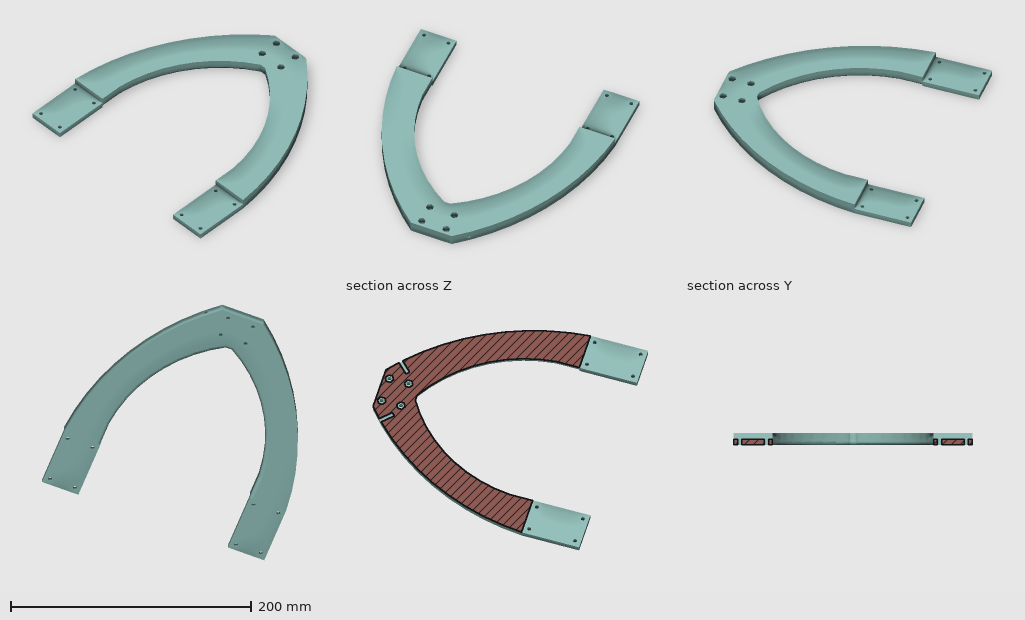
import cadquery as cq

width = 199.0
length = 204.0
thickness = 10.0
half_width = width / 2

pad_width = 32.5
pad_length = 50.0
pad_thickness = thickness / 2
pad_inner_x = half_width - pad_width

nose_half_width = 18.5
outer_mid = (74.7, 135.9)
apex_half_width = 2.7
apex_y = 171.5
inner_mid = (47.5, 128.1)
inner_arc_end_y = 70.4
inner_fillet = 3.0

hole_diameter = 3.3
hole_spacing_x = 22.2
pad_hole_spacing_y = 40.0
nose_hole_spacing_y = 16.7
nose_hole_inset = 5.5
nut_across_flats = 6.0
nut_pocket_depth = thickness / 2
side_hole_x = 29.5
side_hole_inset = 9.8
side_hole_slope = 1.0
side_hole_depth = 12.2


def mirrored(point):
    """Reflect a point across the centre plane X = 0."""
    return (-point[0], point[1])


def make_arch():
    """Full-thickness arch between the steps of the two pads."""
    outer_start = (half_width, pad_length)
    nose_corner = (nose_half_width, length)
    apex_corner = (apex_half_width, apex_y)
    inner_arc_end = (pad_inner_x, inner_arc_end_y)
    inner_end = (pad_inner_x, pad_length)
    arch = (
        cq.Workplane("XY")
        .moveTo(*outer_start)
        .threePointArc(outer_mid, nose_corner)
        .lineTo(*mirrored(nose_corner))
        .threePointArc(mirrored(outer_mid), mirrored(outer_start))
        .lineTo(*mirrored(inner_end))
        .lineTo(*mirrored(inner_arc_end))
        .threePointArc(mirrored(inner_mid), mirrored(apex_corner))
        .lineTo(*apex_corner)
        .threePointArc(inner_mid, inner_arc_end)
        .lineTo(*inner_end)
        .close()
        .extrude(thickness)
    )
    margin = 0.2
    opening = cq.selectors.BoxSelector(
        (-pad_inner_x - margin, pad_length, -margin),
        (pad_inner_x + margin, apex_y + margin, margin),
    )
    return arch.edges(opening).fillet(inner_fillet)


def make_pad(side):
    """Drilled pad on the side given by the sign of X."""
    return (
        cq.Workplane("XY")
        .center(side * (half_width - pad_width / 2), pad_length / 2)
        .rect(pad_width, pad_length)
        .rarray(hole_spacing_x, pad_hole_spacing_y, 2, 2)
        .circle(hole_diameter / 2)
        .extrude(pad_thickness)
    )


def make_nose_cutters():
    """Four screw holes, each with a nut pocket open at the top."""
    pattern_y = length - nose_hole_inset - nose_hole_spacing_y / 2
    pattern = (
        cq.Workplane("XY")
        .center(0, pattern_y)
        .rarray(hole_spacing_x, nose_hole_spacing_y, 2, 2)
    )
    holes = pattern.circle(hole_diameter / 2).extrude(thickness)
    nut = (
        cq.Workplane("XY")
        .polygon(6, nut_across_flats, circumscribed=True)
        .extrude(nut_pocket_depth)
        .translate((0, 0, thickness - nut_pocket_depth))
        .val()
    )
    pockets = pattern.eachpoint(lambda place: nut.moved(place))
    return holes.union(pockets)


def make_side_hole(side):
    """Blind hole square to the sloping outer wall, on the side given by the sign of X."""
    return (
        cq.Workplane(
            cq.Plane(
                origin=(side * side_hole_x, length - side_hole_inset, thickness / 2),
                xDir=(0, 0, 1),
                normal=(-side, -side_hole_slope, 0),
            )
        )
        .workplane(offset=-hole_diameter)
        .circle(hole_diameter / 2)
        .extrude(hole_diameter + side_hole_depth)
    )


result = make_arch()
for side in (-1, 1):
    result = result.union(make_pad(side))
result = result.cut(make_nose_cutters())
for side in (-1, 1):
    result = result.cut(make_side_hole(side))